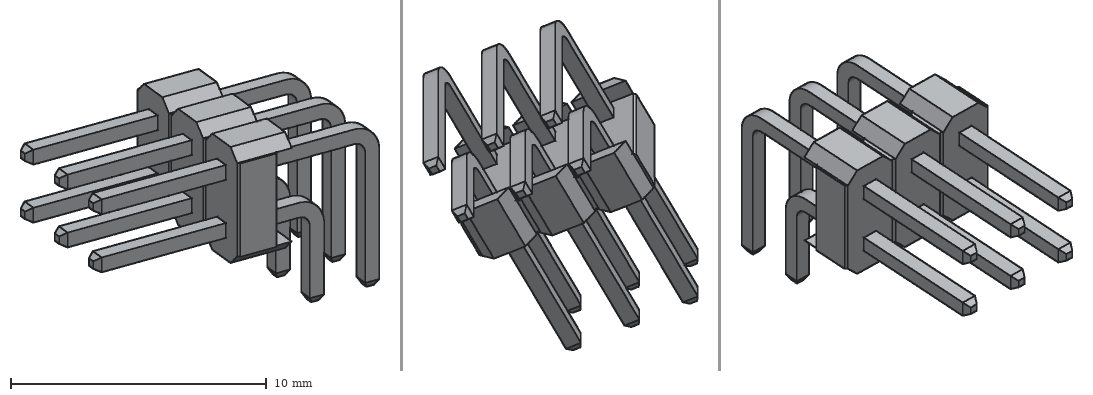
import cadquery as cq


HOUSING_LENGTH = 7.62
COLUMNS = 3
pitch = HOUSING_LENGTH / COLUMNS
column_x = [(i - (COLUMNS - 1) / 2) * pitch for i in range(COLUMNS)]
row_z = [-pitch / 2, pitch / 2]

HOUSING_DEPTH = 2.5
WAIST_DEPTH = 1.83
WAIST_CHAMFER = 0.09
CORNER_CHAMFER = 0.5
housing_height = 2 * pitch
waist_height = housing_height - 2 * CORNER_CHAMFER
cell_width = pitch - 2 * WAIST_CHAMFER

PIN_WIDTH = 0.65
TIP_LENGTH = 0.29
TIP_WIDTH = 0.33
BEND_RADIUS = 1.16
MATING_LENGTH = 5.99
TAIL_LENGTH = 4.55
LEG_DROP = 3.0
inner_radius = BEND_RADIUS - PIN_WIDTH
leg_tip_z = -housing_height / 2 - LEG_DROP
upper_leg_y = HOUSING_DEPTH + TAIL_LENGTH - PIN_WIDTH / 2
leg_y = [upper_leg_y - pitch, upper_leg_y]


def make_cell(x):
    """One housing cell: an octagonal block cut back at the rear, with a chamfered waist."""
    waist = (
        cq.Workplane("XY")
        .box(pitch, WAIST_DEPTH, waist_height, centered=(True, False, True))
        .edges("|Z")
        .chamfer(WAIST_CHAMFER)
    )
    rear_recess = (
        cq.Workplane("XY")
        .box(pitch, HOUSING_DEPTH - WAIST_DEPTH, waist_height, centered=(True, False, True))
        .translate((0, WAIST_DEPTH, 0))
    )
    octagon = (
        cq.Workplane("XY")
        .box(cell_width, HOUSING_DEPTH, housing_height, centered=(True, False, True))
        .edges("|Y")
        .chamfer(CORNER_CHAMFER)
    )
    return octagon.cut(rear_recess).union(waist).translate((x, 0, 0))


def make_housing():
    """Row of joined cells with a square through hole for every pin."""
    housing = make_cell(column_x[0])
    for x in column_x[1:]:
        housing = housing.union(make_cell(x))
    for x in column_x:
        for z in row_z:
            hole = (
                cq.Workplane("XY")
                .box(PIN_WIDTH, HOUSING_DEPTH, PIN_WIDTH, centered=(True, False, True))
                .translate((x, 0, z))
            )
            housing = housing.cut(hole)
    return housing


def make_tip(plane):
    """Tapered square tip growing from the origin of the plane along its normal."""
    return (
        cq.Workplane(plane)
        .rect(PIN_WIDTH, PIN_WIDTH)
        .workplane(offset=TIP_LENGTH)
        .rect(TIP_WIDTH, TIP_WIDTH)
        .loft(ruled=True)
    )


def make_pin(x, z, leg):
    """Square pin running along Y at height z, bent down into a leg centred at Y = leg."""
    half = PIN_WIDTH / 2
    front_y = TIP_LENGTH - MATING_LENGTH
    leg_end_z = leg_tip_z + TIP_LENGTH
    bend_y = leg + half - BEND_RADIUS
    bend_z = z + half - BEND_RADIUS
    shank = (
        cq.Workplane("YZ", origin=(x, 0, 0))
        .moveTo(front_y, z + half)
        .lineTo(bend_y, z + half)
        .radiusArc((leg + half, bend_z), BEND_RADIUS)
        .lineTo(leg + half, leg_end_z)
        .lineTo(leg - half, leg_end_z)
        .lineTo(leg - half, bend_z)
        .radiusArc((bend_y, z - half), -inner_radius)
        .lineTo(front_y, z - half)
        .close()
        .extrude(half, both=True)
    )
    mating_tip = make_tip(cq.Plane(origin=(x, front_y, z), xDir=(1, 0, 0), normal=(0, -1, 0)))
    leg_tip = make_tip(cq.Plane(origin=(x, leg, leg_end_z), xDir=(1, 0, 0), normal=(0, 0, -1)))
    return shank.union(mating_tip).union(leg_tip)


housing = make_housing()
pins = [make_pin(x, z, leg) for x in column_x for z, leg in zip(row_z, leg_y)]

result = cq.Compound.makeCompound([housing.solids().val(), *[pin.solids().val() for pin in pins]])